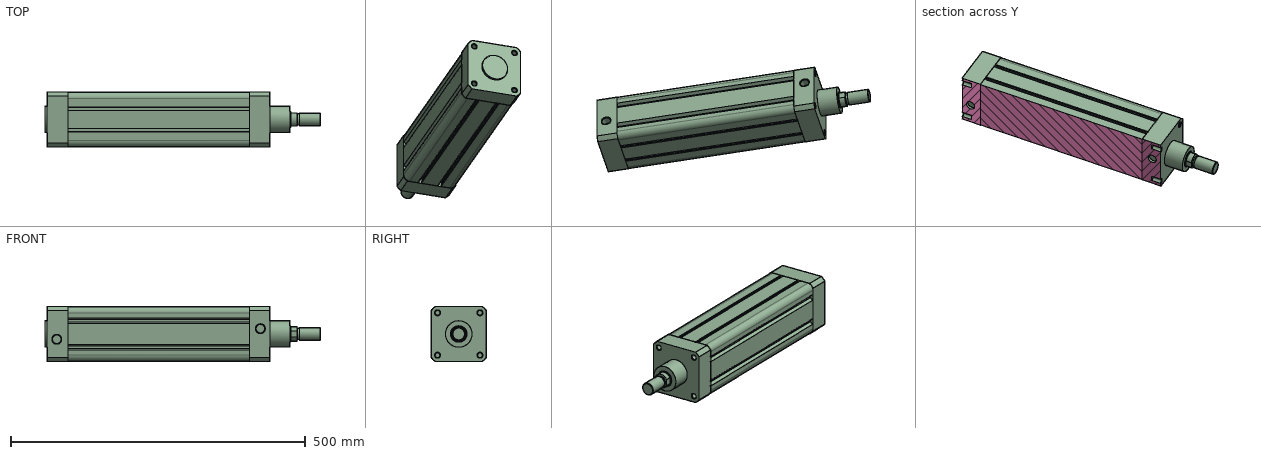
import cadquery as cq
import math


cap_width = 94.0
cap_length = 35.0
cap_flat_width = 80.0
cap_turned_diameter = math.hypot(cap_width, cap_flat_width)
caps_overall = 378.0

rear_boss_diameter = 45.0
rear_boss_height = 4.0

neck_diameter = 45.0
neck_length = 34.0

wiper_base_diameter = 28.0
wiper_tip_diameter = 26.0
wiper_height = 1.5

tie_hole_spacing = 72.0
tie_hole_diameter = 8.0
tie_hole_depth = 17.0
tie_hole_chamfer = 1.1

port_diameter = 14.6
port_depth = 15.0
port_chamfer = 1.1
port_from_cap_face = 16.2
port_offset = 9.0

barrel_width = 93.0
barrel_corner_radius = 10.5
barrel_start = cap_length
barrel_end = caps_overall - cap_length
barrel_length = barrel_end - barrel_start

wide_groove_center = 22.5
wide_groove_mouth = 10.0
wide_groove_floor = 4.5
wide_groove_depth = 6.0

narrow_groove_center = 17.7
narrow_groove_width = 5.6
narrow_groove_lip = 2.5
narrow_groove_inner_width = 7.6
narrow_groove_depth = 8.0

rod_diameter = 25.0
rod_across_flats = 22.5
rod_shoulder_length = 10.0
rod_shoulder_taper = 1.2
thread_diameter = 22.0
thread_end_chamfer = 1.0
undercut_diameter = 19.5
undercut_width = 3.2
overall_length = 468.0

front_cap_face = caps_overall
neck_end = front_cap_face + neck_length
rod_end = overall_length - rear_boss_height
wiper_end = neck_end + wiper_height
shoulder_end = wiper_end + rod_shoulder_length
undercut_start = shoulder_end + rod_shoulder_taper
thread_start = undercut_start + undercut_width


def cylinder_along_x(start, end, diameter):
    """Solid cylinder on the X axis between two X positions."""
    return cq.Workplane("YZ", origin=(start, 0, 0)).circle(diameter / 2).extrude(end - start)


def cap_block(start):
    """Square block whose long edges are turned down to a circle about the X axis."""
    block = cq.Workplane("YZ", origin=(start, 0, 0)).rect(cap_width, cap_width).extrude(cap_length)
    return block.intersect(cylinder_along_x(start, start + cap_length, cap_turned_diameter))


def chamfered_hole(mouth, inward, diameter, depth, chamfer):
    """Blind-hole cutter with a chamfered mouth, running inward from the mouth point."""
    mouth_point = cq.Vector(*mouth)
    direction = cq.Vector(*inward)
    bore = cq.Solid.makeCylinder(diameter / 2, depth, mouth_point, direction)
    countersink = cq.Solid.makeCone(diameter / 2 + chamfer, diameter / 2, chamfer, mouth_point, direction)
    return bore.fuse(countersink)


def cut_tie_holes(cap, face_x, inward_x):
    """Four tapped holes in the end face of a cap, running inward along X."""
    for y_side in (-1, 1):
        for z_side in (-1, 1):
            mouth = (face_x, y_side * tie_hole_spacing / 2, z_side * tie_hole_spacing / 2)
            hole = chamfered_hole(
                mouth, (inward_x, 0, 0), tie_hole_diameter, tie_hole_depth, tie_hole_chamfer
            )
            cap = cap.cut(cq.Workplane(hole))
    return cap


def cut_port(cap, x, z):
    """Air port in the -Y face of a cap."""
    hole = chamfered_hole((x, -cap_width / 2, z), (0, 1, 0), port_diameter, port_depth, port_chamfer)
    return cap.cut(cq.Workplane(hole))


def make_rear_cap():
    boss = cylinder_along_x(-rear_boss_height, 0, rear_boss_diameter)
    cap = cap_block(0).union(boss)
    cap = cut_tie_holes(cap, 0, 1)
    return cut_port(cap, port_from_cap_face, -port_offset)


def make_front_cap():
    neck = cylinder_along_x(front_cap_face, neck_end, neck_diameter)
    wiper = cq.Workplane(
        cq.Solid.makeCone(
            wiper_base_diameter / 2,
            wiper_tip_diameter / 2,
            wiper_height,
            cq.Vector(neck_end, 0, 0),
            cq.Vector(1, 0, 0),
        )
    )
    cap = cap_block(barrel_end).union(neck).union(wiper)
    cap = cut_tie_holes(cap, front_cap_face, -1)
    cap = cut_port(cap, front_cap_face - port_from_cap_face, port_offset)
    return cap.cut(cylinder_along_x(barrel_end, wiper_end, rod_diameter))


def wide_groove(side, z):
    """Tapered groove cutter in the given Y-side face, centred at height z."""
    face = side * barrel_width / 2
    floor = face - side * wide_groove_depth
    return (
        cq.Workplane("YZ", origin=(barrel_start, 0, 0))
        .polyline([
            (face, z - wide_groove_mouth / 2),
            (face, z + wide_groove_mouth / 2),
            (floor, z + wide_groove_floor / 2),
            (floor, z - wide_groove_floor / 2),
        ])
        .close()
        .extrude(barrel_length)
    )


def narrow_groove(side, y):
    """T-slot cutter in the face on the given Z side, centred at y."""
    face = side * barrel_width / 2
    lip = face - side * narrow_groove_lip
    floor = face - side * narrow_groove_depth
    mouth_half = narrow_groove_width / 2
    inner_half = narrow_groove_inner_width / 2
    return (
        cq.Workplane("YZ", origin=(barrel_start, 0, 0))
        .polyline([
            (y - mouth_half, face),
            (y - mouth_half, lip),
            (y - inner_half, lip),
            (y - inner_half, floor),
            (y + inner_half, floor),
            (y + inner_half, lip),
            (y + mouth_half, lip),
            (y + mouth_half, face),
        ])
        .close()
        .extrude(barrel_length)
    )


def make_barrel():
    profile = (
        cq.Workplane("YZ", origin=(barrel_start, 0, 0))
        .rect(barrel_width, barrel_width)
        .extrude(barrel_length)
        .edges("|X")
        .fillet(barrel_corner_radius)
    )
    for face_side in (-1, 1):
        for half in (-1, 1):
            profile = profile.cut(wide_groove(face_side, half * wide_groove_center))
            profile = profile.cut(narrow_groove(face_side, half * narrow_groove_center))
    return profile


def make_rod():
    rod_radius = rod_diameter / 2
    thread_radius = thread_diameter / 2
    undercut_radius = undercut_diameter / 2
    rod = (
        cq.Workplane("XY")
        .polyline([
            (barrel_end, 0),
            (barrel_end, rod_radius),
            (shoulder_end, rod_radius),
            (undercut_start, undercut_radius),
            (thread_start, undercut_radius),
            (thread_start, thread_radius),
            (rod_end - thread_end_chamfer, thread_radius),
            (rod_end, thread_radius - thread_end_chamfer),
            (rod_end, 0),
        ])
        .close()
        .revolve(360, (0, 0, 0), (1, 0, 0))
    )
    flat_depth = (rod_diameter - rod_across_flats) / 2
    for side in (-1, 1):
        flat_center_y = side * (rod_across_flats + flat_depth) / 2
        flat = (
            cq.Workplane("YZ", origin=(wiper_end, flat_center_y, 0))
            .rect(flat_depth, rod_diameter)
            .extrude(undercut_start - wiper_end)
        )
        rod = rod.cut(flat)
    return rod


rear_cap = make_rear_cap()
barrel = make_barrel()
front_cap = make_front_cap()
rod = make_rod()

result = cq.Compound.makeCompound([
    rear_cap.val(),
    barrel.val(),
    front_cap.val(),
    rod.val(),
])